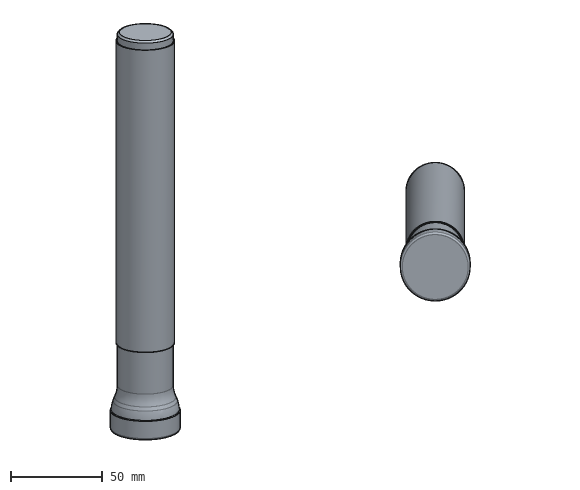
import cadquery as cq
import math

length = 228.5
rod_radius = 15.3
rod_end_chamfer = 1.1

foot_radius = 19.09
foot_bottom_fillet = 1.1
foot_top_chamfer = 0.5
foot_height = 11.5

flare_base_radius = foot_radius - foot_top_chamfer
flare_cone_bottom = 16.5
flare_cone_top = 18.5
flare_top = 25.4

sleeve_radius = 16.0
sleeve_bottom = 49.4
sleeve_top = 223.5
sleeve_bottom_chamfer = 0.5


def add_flare(profile):
    """Rise from the foot to the rod: convex arc, straight cone, concave arc, all tangent."""
    convex_height = flare_cone_bottom - foot_height
    cone_height = flare_cone_top - flare_cone_bottom
    concave_height = flare_top - flare_cone_top
    radial_drop = flare_base_radius - rod_radius

    half_tangent = 0.0
    for _ in range(20):
        half_tangent = radial_drop / (
            convex_height + concave_height + 2 * cone_height / (1 - half_tangent**2)
        )
    quarter_tangent = math.tan(math.atan(half_tangent) / 2)
    turn = 2 * math.atan(half_tangent)

    def arc_middle_offsets(height):
        """Axial and radial distance of an arc's middle from its axial end."""
        arc_radius = height / math.sin(turn)
        axial = arc_radius * math.sin(turn / 2)
        return axial, axial * quarter_tangent

    convex_axial, convex_radial = arc_middle_offsets(convex_height)
    concave_axial, concave_radial = arc_middle_offsets(concave_height)
    cone_bottom_radius = flare_base_radius - convex_height * half_tangent
    cone_top_radius = rod_radius + concave_height * half_tangent

    return (
        profile.threePointArc(
            (flare_base_radius - convex_radial, foot_height + convex_axial),
            (cone_bottom_radius, flare_cone_bottom),
        )
        .lineTo(cone_top_radius, flare_cone_top)
        .threePointArc(
            (rod_radius + concave_radial, flare_top - concave_axial),
            (rod_radius, flare_top),
        )
    )


def make_rod():
    """Solid round rod with a flared foot, rounded at the bottom."""
    profile = (
        cq.Workplane("XZ")
        .lineTo(foot_radius - foot_bottom_fillet, 0)
        .radiusArc((foot_radius, foot_bottom_fillet), -foot_bottom_fillet)
        .lineTo(foot_radius, foot_height - foot_top_chamfer)
        .lineTo(flare_base_radius, foot_height)
    )
    profile = (
        add_flare(profile)
        .lineTo(rod_radius, length - rod_end_chamfer)
        .lineTo(rod_radius - rod_end_chamfer, length)
        .lineTo(0, length)
        .close()
    )
    return profile.revolve(360, (0, 0, 0), (0, 1, 0))


def make_sleeve():
    """Thin tube fitted over the rod, with its lower outer edge chamfered."""
    tube = (
        cq.Workplane("XY")
        .workplane(offset=sleeve_bottom)
        .circle(sleeve_radius)
        .circle(rod_radius)
        .extrude(sleeve_top - sleeve_bottom)
    )
    outer_edge = cq.selectors.RadiusNthSelector(-1)
    return tube.faces("<Z").edges(outer_edge).chamfer(sleeve_bottom_chamfer)


rod = make_rod()
sleeve = make_sleeve()

result = cq.Compound.makeCompound([rod.val(), sleeve.val()])